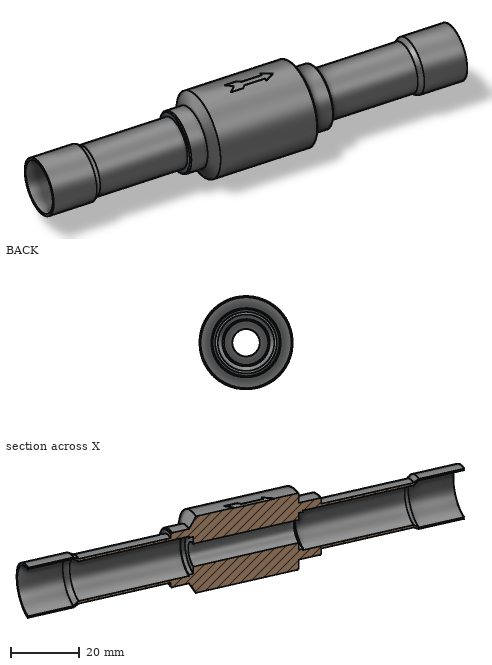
import cadquery as cq

length = 138.0
half_length = length / 2
tube_diameter = 16.1
tube_bore = 14.0
socket_diameter = 18.1
socket_bore = 16.5
socket_depth = 14.4
socket_taper = 1.7

body_diameter = 27.5
body_front = -15.9
body_back = 16.7
body_chamfer = 0.4
cone_length = 2.2
front_collar_diameter = 19.6
back_collar_diameter = 20.4
collar_end = 23.9
collar_chamfer = 0.4

seat_diameter = 13.0
seat_depth = 1.4
passage_diameter = 8.0
passage_half_length = 18.1

arrow_depth = 0.1
arrow_half_width = 2.0
shaft_half_width = 1.0
arrow_tip = 9.0
head_base = 5.8
shaft_end = -1.1
fletching_start = -2.0
notch_tip = -4.0
arrow_tail = -6.1


def revolve_profile(points):
    """Revolve an outline of (radius, Y) points about the Y axis."""
    outline = cq.Workplane("XY").polyline(points).close()
    return outline.revolve(360, (0, 0, 0), (0, 1, 0))


def frustum(start_diameter, end_diameter, start, end):
    """Solid of revolution along Y; equal diameters give a cylinder."""
    return revolve_profile([
        (0, start),
        (start_diameter / 2, start),
        (end_diameter / 2, end),
        (0, end),
    ])


def tube_half(side, middle_diameter, end_diameter):
    """Stepped solid from the body centre to one end; side is -1 or 1."""
    socket_start = half_length - socket_depth
    taper_start = socket_start - socket_taper
    return revolve_profile([
        (0, 0),
        (middle_diameter / 2, 0),
        (middle_diameter / 2, side * taper_start),
        (end_diameter / 2, side * socket_start),
        (end_diameter / 2, side * half_length),
        (0, side * half_length),
    ])


def collar(side, diameter):
    """Collar around the tube with a chamfered outer end."""
    chamfer_start = side * (collar_end - collar_chamfer)
    straight = frustum(diameter, diameter, 0, chamfer_start)
    end = frustum(diameter, diameter - 2 * collar_chamfer, chamfer_start, side * collar_end)
    return straight.union(end)


def bore_half(side):
    """Socket, tube bore and counterbore at one end, stopping at the narrow passage."""
    stop = frustum(socket_diameter, socket_diameter, 0, side * passage_half_length)
    seat_floor = side * (passage_half_length - seat_depth)
    seat = frustum(seat_diameter, seat_diameter, seat_floor, side * half_length)
    return tube_half(side, tube_bore, socket_bore).cut(stop).union(seat)


def flow_arrow():
    """Cutter for the engraved arrow, pointing toward +Y."""
    right_edge = [
        (arrow_half_width, head_base),
        (shaft_half_width, head_base),
        (shaft_half_width, shaft_end),
        (arrow_half_width, fletching_start),
        (arrow_half_width, arrow_tail),
    ]
    left_edge = [(-x, y) for x, y in reversed(right_edge)]
    outline = [(0, arrow_tip)] + right_edge + [(0, notch_tip)] + left_edge
    radius = body_diameter / 2
    prism = cq.Workplane("XY").polyline(outline).close().extrude(radius)
    floor_diameter = body_diameter - 2 * arrow_depth
    return prism.cut(frustum(floor_diameter, floor_diameter, body_front, body_back))


chamfer_start = body_back - body_chamfer
body = frustum(body_diameter, body_diameter, body_front, chamfer_start)
body = body.union(frustum(body_diameter, body_diameter - 2 * body_chamfer, chamfer_start, body_back))
body = body.union(frustum(body_diameter, front_collar_diameter, body_front, body_front - cone_length))
body = body.union(collar(-1, front_collar_diameter))
body = body.union(collar(1, back_collar_diameter))

result = body
for end_side in (-1, 1):
    result = result.union(tube_half(end_side, tube_diameter, socket_diameter))
    result = result.cut(bore_half(end_side))
result = result.cut(frustum(passage_diameter, passage_diameter, -half_length, half_length))
result = result.cut(flow_arrow())